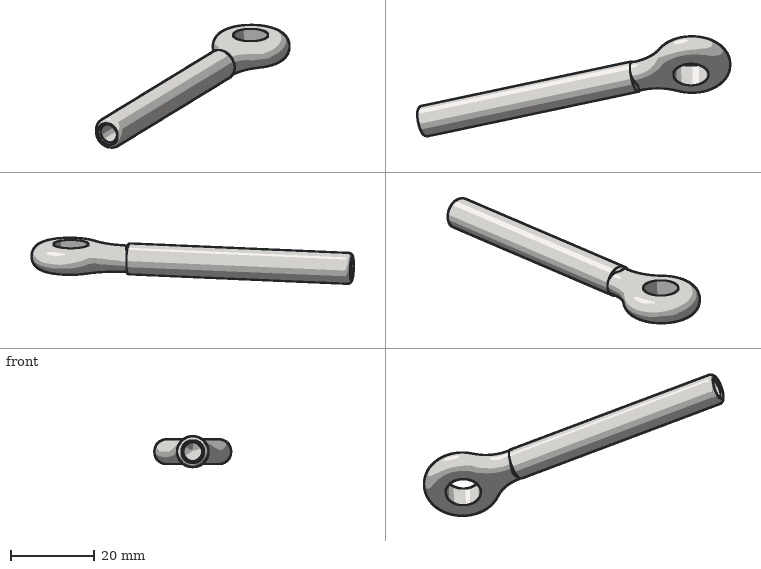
import cadquery as cq
import math

total_length = 78.0
eye_diameter = 18.5
eye_thickness = 6.0
eye_hole_diameter = 8.4
eye_hole_offset = 0.2
edge_flat = 0.015
neck_half_width = 3.8
neck_length = 13.65

shank_diameter = 7.5
shank_top_chamfer = 0.8
shank_tip_rounding = 1.0
bore_diameter = 4.5
bore_depth = 7.8
bore_chamfer = 0.5
drill_point_angle = 118.0

eye_radius = eye_diameter / 2
shank_radius = shank_diameter / 2
bore_radius = bore_diameter / 2
tip_y = eye_radius - total_length
shank_top_y = -neck_length
neck_root_y = shank_top_y - shank_top_chamfer

neck_arc_radius = (neck_half_width**2 + neck_length**2 - eye_radius**2) / (
    2 * (eye_radius - neck_half_width)
)
tangent_angle = math.atan2(neck_length, neck_half_width + neck_arc_radius)
arc_middle_angle = tangent_angle / 2


def make_eye():
    """Teardrop plate with almost fully rounded edges."""
    tangent_x = eye_radius * math.cos(tangent_angle)
    tangent_y = -eye_radius * math.sin(tangent_angle)
    arc_center_x = neck_half_width + neck_arc_radius
    middle_x = arc_center_x - neck_arc_radius * math.cos(arc_middle_angle)
    middle_y = shank_top_y + neck_arc_radius * math.sin(arc_middle_angle)
    plate = (
        cq.Workplane("XY", origin=(0, 0, -eye_thickness / 2))
        .moveTo(-neck_half_width, neck_root_y)
        .lineTo(-neck_half_width, shank_top_y)
        .threePointArc((-middle_x, middle_y), (-tangent_x, tangent_y))
        .threePointArc((0, eye_radius), (tangent_x, tangent_y))
        .threePointArc((middle_x, middle_y), (neck_half_width, shank_top_y))
        .lineTo(neck_half_width, neck_root_y)
        .close()
        .extrude(eye_thickness)
    )
    rim = plate.faces("|Z").edges("not(|X)")
    return rim.fillet((eye_thickness - edge_flat) / 2)


def make_shank():
    """Round shank, chamfered toward the eye and rounded at the tip."""
    return (
        cq.Workplane("XZ", origin=(0, shank_top_y, 0))
        .circle(shank_radius)
        .extrude(shank_top_y - tip_y)
        .faces(">Y")
        .edges()
        .chamfer(shank_top_chamfer)
        .faces("<Y")
        .edges()
        .fillet(shank_tip_rounding)
    )


def make_bore():
    """Blind drilled bore with a chamfered mouth and a conical bottom, turned about Y."""
    point_depth = bore_radius / math.tan(math.radians(drill_point_angle / 2))
    return (
        cq.Workplane("XY")
        .moveTo(0, tip_y)
        .lineTo(bore_radius + bore_chamfer, tip_y)
        .lineTo(bore_radius, tip_y + bore_chamfer)
        .lineTo(bore_radius, tip_y + bore_depth)
        .lineTo(0, tip_y + bore_depth + point_depth)
        .close()
        .revolve(360, (0, 0, 0), (0, 1, 0))
    )


eye_hole = (
    cq.Workplane("XY", origin=(0, -eye_hole_offset, -eye_thickness / 2))
    .circle(eye_hole_diameter / 2)
    .extrude(eye_thickness)
)

result = make_eye().union(make_shank()).cut(make_bore()).cut(eye_hole)